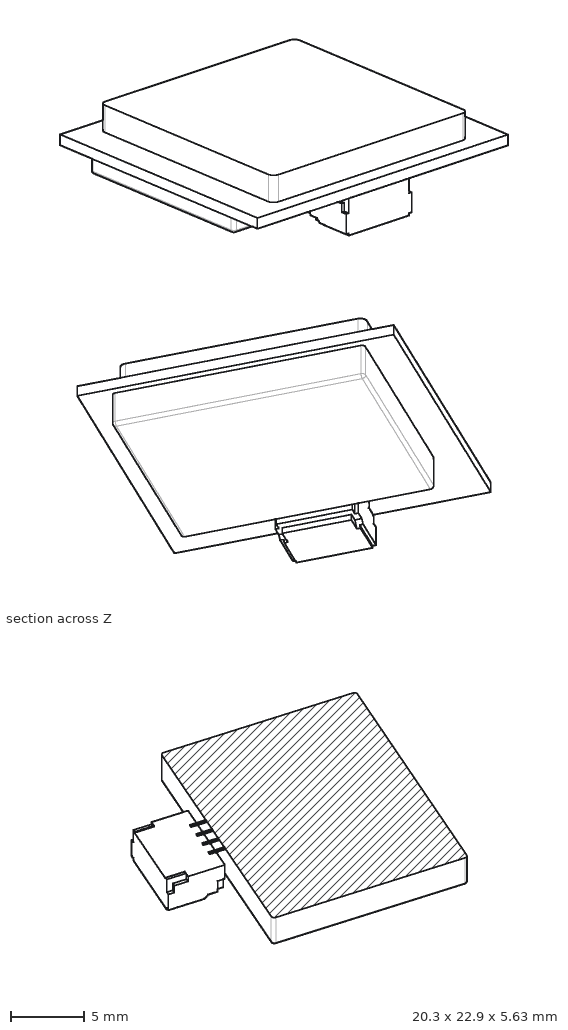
import cadquery as cq

board_length_x = 20.32
board_length_y = 22.86
board_thickness = 0.8

patch_side = 17.8
patch_height = 2.0
patch_corner_radius = 0.5

can_length_x = 14.72
can_length_y = 18.25
can_height = 2.55
can_edge_radius = 0.25
can_left_margin = 0.52
can_center_x = -board_length_x / 2 + can_left_margin + can_length_x / 2
can_right_x = can_center_x + can_length_x / 2

housing_center_y = -0.2
housing_width = 6.0
housing_depth = 4.25
housing_drop = 2.83
housing_clearance = 0.08
housing_edge_inset = 0.17
housing_front_x = board_length_x / 2 - housing_edge_inset
housing_back_x = housing_front_x - housing_depth
end_inset = 0.25
core_width = housing_width - 2 * end_inset
center_width = core_width - 2 * end_inset

back_drop = 2.38
end_drop = 2.66
slope_start_from_back = 1.25
slope_start_x = housing_back_x + slope_start_from_back
back_shelf = 0.55

back_recess_top = 1.38
foot_length = 1.48
foot_height = 0.54
foot_leg_length = 0.45
foot_leg_height = 1.18

pole_count = 4
pole_pitch = 1.0
tail_width = 0.2
tail_thickness = housing_clearance
tail_length_under_housing = 0.5
heel_size = 0.12


def extrude_across(profile, width):
    """Extrude an XZ profile by width, centred on the connector in Y."""
    return profile.extrude(width / 2, both=True).translate((0, housing_center_y, 0))


def stepped_block(width, drop):
    """Housing slice: low at the back, sloping at 45 degrees down to drop."""
    slope_run = drop - back_drop
    profile = (
        cq.Workplane("XZ")
        .moveTo(housing_back_x, -housing_clearance)
        .lineTo(housing_front_x, -housing_clearance)
        .lineTo(housing_front_x, -drop)
        .lineTo(slope_start_x + slope_run, -drop)
        .lineTo(slope_start_x, -back_drop)
        .lineTo(housing_back_x, -back_drop)
        .close()
    )
    return extrude_across(profile, width)


def box_across(x_min, x_max, z_min, z_max, width):
    """Box between the given X and Z limits, centred on the connector in Y."""
    profile = cq.Workplane("XZ").moveTo(x_min, z_min).lineTo(x_max, z_min)
    profile = profile.lineTo(x_max, z_max).lineTo(x_min, z_max).close()
    return extrude_across(profile, width)


def foot(width):
    """L-shaped outline at the mating end, reaching up to the board."""
    bar = box_across(housing_front_x - foot_length, housing_front_x, -foot_height, 0, width)
    leg = box_across(housing_front_x - foot_leg_length, housing_front_x, -foot_leg_height, 0, width)
    return bar.union(leg)


def make_board():
    return cq.Workplane("XY").box(
        board_length_x, board_length_y, board_thickness, centered=(True, True, False)
    )


def make_patch():
    return (
        cq.Workplane("XY", origin=(0, 0, board_thickness))
        .rect(patch_side, patch_side)
        .extrude(patch_height)
        .edges("|Z")
        .fillet(patch_corner_radius)
    )


def make_can():
    return (
        cq.Workplane("XY", origin=(can_center_x, 0, 0))
        .rect(can_length_x, can_length_y)
        .extrude(-can_height)
        .edges("|Z or <Z")
        .fillet(can_edge_radius)
    )


def make_housing():
    body = stepped_block(housing_width, end_drop)
    body = body.union(stepped_block(core_width, housing_drop))

    ridge_back_x = housing_back_x + back_shelf
    ridge = box_across(ridge_back_x, housing_front_x, -housing_drop, -back_drop, center_width)
    body = body.union(ridge)

    back_corner = box_across(housing_back_x, ridge_back_x, -back_drop, -back_recess_top, housing_width)
    body = body.cut(back_corner.union(foot(housing_width)))
    back_core = box_across(housing_back_x, ridge_back_x, -back_drop, -back_recess_top, core_width)
    body = body.union(back_core)

    front_core = box_across(
        housing_front_x - foot_length, housing_front_x, -foot_leg_height, -housing_clearance, core_width
    )
    feet = foot(core_width).cut(foot(center_width))
    return body.union(front_core).union(feet)


def make_contacts():
    tails = []
    for pole in range(pole_count):
        offset_y = (pole - (pole_count - 1) / 2) * pole_pitch
        profile = (
            cq.Workplane("XZ")
            .moveTo(can_right_x, 0)
            .lineTo(housing_back_x + tail_length_under_housing, 0)
            .lineTo(housing_back_x + tail_length_under_housing, -tail_thickness)
            .lineTo(housing_back_x, -tail_thickness)
            .lineTo(housing_back_x, -tail_thickness - heel_size)
            .lineTo(housing_back_x - heel_size, -tail_thickness)
            .lineTo(can_right_x, -tail_thickness)
            .close()
        )
        tails.append(extrude_across(profile, tail_width).translate((0, offset_y, 0)))
    return tails


board = make_board()
patch = make_patch()
can = make_can()
housing = make_housing()
contacts = make_contacts()

result = cq.Compound.makeCompound(
    [board.val(), patch.val(), can.val(), housing.val(), *[contact.val() for contact in contacts]]
)